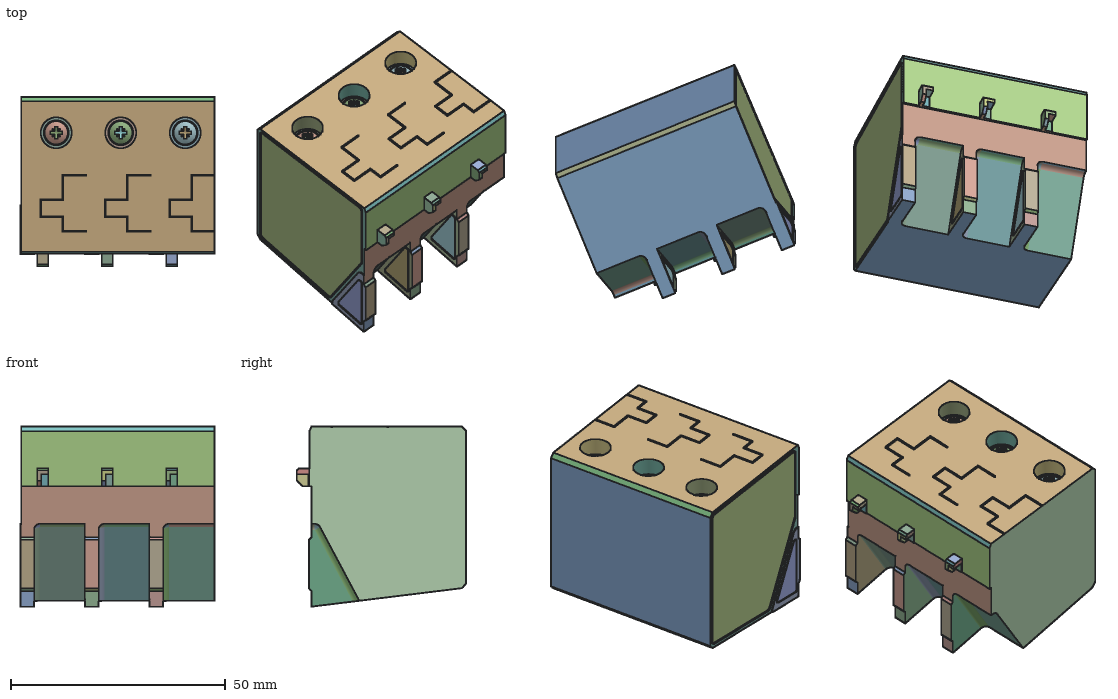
import cadquery as cq
import math


POLES = 3
PITCH = 15.0
WIDTH = POLES * PITCH

HEIGHT = 41.93
DEPTH = 36.0
UPPER_OVERHANG = 0.5
STEP_Z = 28.0
BOTTOM_SLOPE = math.tan(math.radians(7.0))
BACK_CHAMFER = 1.0
FRONT_CHAMFER_DEPTH = 0.5
FRONT_CHAMFER_HEIGHT = 1.1

FIN_OUTSET = 0.2
FIN_RIGHT = 3.0
FIN_LEFT = -FIN_OUTSET
POCKET_TOP = 19.3
POCKET_TOP_DEPTH = 1.6
SLOPE_ANGLE = 62.0
SLOPE = math.tan(math.radians(SLOPE_ANGLE))
POCKET_CORNER_RADIUS = 1.5
POCKET_WALL_RADIUS = 1.4
SKIN_BACK = 10.75
SKIN_FOOT_RADIUS = 3.0
CUT_MARGIN = 5.0

PAD_THICKNESS = 0.6
PAD_BOTTOM = 3.65
PAD_TOP = 16.2

RECESS_DEPTH = 0.2
RECESS_FRONT = 0.8
RECESS_TOP = 16.3
RECESS_BACK = 8.65
RECESS_SLOPE_MARGIN = 1.2
RECESS_BOTTOM_MARGIN = 1.65
RECESS_CORNER_RADIUS = 0.3

GROOVE_MARGIN = 0.85
GROOVE_WIDTH = 0.2
GROOVE_DEPTH = 0.2
GROOVE_FRONT = 0.9
GROOVE_RADIUS = 1.0

HOOK_LEFT = 3.73
HOOK_WIDTH = 2.6
HOOK_HEIGHT = 4.2
HOOK_REACH = 3.42
HOOK_TOP_CHAMFER = 0.5
HOOK_BOTTOM_CHAMFER = 1.35
HOOK_LEG_WIDTH = 0.9
HOOK_BAR_HEIGHT = 1.35
HOOK_WEB = 0.2

WELL_X = 8.15
WELL_Y = 27.65
WELL_RADIUS = 3.6
WELL_DEPTH = 4.15
HEAD_RADIUS = 2.9
FLANGE_HEIGHT = 0.2
DOME_RADIUS = 2.72
DOME_HEIGHT = 1.15
CROSS_LENGTH = 2.8
CROSS_WIDTH = 0.65
RIB_LENGTH = 2.4
RIB_WIDTH = 0.25
DRIVE_WALL = 0.4
DRIVE_DEPTH = 1.2

MARK_TIP_X = 4.5
MARK_STEP_X = 9.7
MARK_END_X = 15.1
MARK_BACK_Y = 17.75
MARK_TIP_BACK_Y = 12.1
MARK_TIP_FRONT_Y = 8.1
MARK_FRONT_Y = 4.7
MARK_WIDTH = 0.22
MARK_DEPTH = 0.2
MARK_EDGE_GAP = 0.2


def bottom_z(y):
    """Height of the sloping underside at depth y."""
    return y * BOTTOM_SLOPE


def slope_z(y, margin=0.0):
    """Height of the pocket slope at depth y, moved forward by margin."""
    shift = margin / math.sin(math.radians(SLOPE_ANGLE))
    return POCKET_TOP - (y + shift - POCKET_TOP_DEPTH) * SLOPE


def slope_y(z, margin=0.0):
    """Depth of the pocket slope at height z, moved forward by margin."""
    shift = margin / math.sin(math.radians(SLOPE_ANGLE))
    return POCKET_TOP_DEPTH + (POCKET_TOP - z) / SLOPE - shift


def side_prism(points, x_start, x_end):
    """Extrude a (Y, Z) outline between two X positions."""
    return cq.Workplane("YZ", origin=(x_start, 0, 0)).polyline(points).close().extrude(x_end - x_start)


def housing(x_start, x_end):
    points = [
        (0, 0),
        (0, STEP_Z),
        (-UPPER_OVERHANG, STEP_Z),
        (-UPPER_OVERHANG, HEIGHT - FRONT_CHAMFER_HEIGHT),
        (FRONT_CHAMFER_DEPTH - UPPER_OVERHANG, HEIGHT),
        (DEPTH - BACK_CHAMFER, HEIGHT),
        (DEPTH, HEIGHT - BACK_CHAMFER),
        (DEPTH, bottom_z(DEPTH) + BACK_CHAMFER),
        (DEPTH - BACK_CHAMFER, bottom_z(DEPTH - BACK_CHAMFER)),
    ]
    return side_prism(points, x_start, x_end)


def pocket_prism(x_start, x_end):
    """Pocket space with a rounded ceiling corner, open to the front and below."""
    points = [
        (-CUT_MARGIN, POCKET_TOP),
        (POCKET_TOP_DEPTH, POCKET_TOP),
        (slope_y(-CUT_MARGIN), -CUT_MARGIN),
        (-CUT_MARGIN, -CUT_MARGIN),
    ]
    prism = side_prism(points, x_start, x_end)
    ceiling_corner = prism.faces(">Z").edges(">Y")
    return ceiling_corner.fillet(POCKET_CORNER_RADIUS)


def wire_pocket(x_start, x_end):
    """Pocket with a rounded transition from its left wall to ceiling and slope."""
    prism = pocket_prism(x_start, x_end)
    ceiling_edge = prism.faces("<X").edges(">Z")
    return ceiling_edge.fillet(POCKET_WALL_RADIUS)


def fin_skin(x_start, x_end):
    """Raised outer face of the first fin, with a rounded foot at the back."""
    points = [
        (-CUT_MARGIN, HEIGHT),
        (SKIN_BACK, HEIGHT),
        (SKIN_BACK, -CUT_MARGIN),
        (-CUT_MARGIN, -CUT_MARGIN),
    ]
    skin = pocket_prism(x_start, x_end).intersect(side_prism(points, x_start, x_end))
    foot_corner = cq.NearestToPointSelector(((x_start + x_end) / 2, SKIN_BACK, slope_z(SKIN_BACK)))
    skin = skin.edges("|X").edges(foot_corner).fillet(SKIN_FOOT_RADIUS)
    return skin.intersect(housing(x_start, x_end))


def fin_pad(x_start, x_end):
    points = [
        (0, PAD_BOTTOM),
        (-PAD_THICKNESS, PAD_BOTTOM + PAD_THICKNESS),
        (-PAD_THICKNESS, PAD_TOP - PAD_THICKNESS),
        (0, PAD_TOP),
    ]
    return side_prism(points, x_start, x_end)


def fin_recess(x_start):
    points = [
        (RECESS_FRONT, bottom_z(RECESS_FRONT) + RECESS_BOTTOM_MARGIN),
        (RECESS_FRONT, RECESS_TOP),
        (slope_y(RECESS_TOP, RECESS_SLOPE_MARGIN), RECESS_TOP),
        (RECESS_BACK, slope_z(RECESS_BACK, RECESS_SLOPE_MARGIN)),
        (RECESS_BACK, bottom_z(RECESS_BACK) + RECESS_BOTTOM_MARGIN),
    ]
    return side_prism(points, x_start, x_start + RECESS_DEPTH).edges("|X").fillet(RECESS_CORNER_RADIUS)


def groove_loop(inset, radius):
    """Prism filling the wall outline, inset from the groove's outer edge."""
    margin = GROOVE_MARGIN + inset
    front = GROOVE_FRONT + inset
    back = DEPTH - margin
    rise = margin * math.hypot(1, BOTTOM_SLOPE)
    shift = margin / math.sin(math.radians(SLOPE_ANGLE))
    foot_y = (POCKET_TOP + (POCKET_TOP_DEPTH + shift) * SLOPE - rise) / (SLOPE + BOTTOM_SLOPE)
    points = [
        (front, HEIGHT - margin),
        (back, HEIGHT - margin),
        (back, bottom_z(back) + rise),
        (foot_y, bottom_z(foot_y) + rise),
        (front, slope_z(front, -margin)),
    ]
    return side_prism(points, 0, GROOVE_DEPTH).edges("|X").fillet(radius)


def wall_groove():
    return groove_loop(0, GROOVE_RADIUS).cut(groove_loop(GROOVE_WIDTH, GROOVE_RADIUS - GROOVE_WIDTH))


def hook(x_start):
    top = STEP_Z + HOOK_HEIGHT
    points = [
        (0, STEP_Z),
        (HOOK_BOTTOM_CHAMFER - HOOK_REACH, STEP_Z),
        (-HOOK_REACH, STEP_Z + HOOK_BOTTOM_CHAMFER),
        (-HOOK_REACH, top - HOOK_TOP_CHAMFER),
        (HOOK_TOP_CHAMFER - HOOK_REACH, top),
        (0, top),
    ]
    notch = cq.Workplane("XY").box(
        HOOK_WIDTH - HOOK_LEG_WIDTH,
        HOOK_REACH - UPPER_OVERHANG - HOOK_WEB,
        HOOK_HEIGHT - HOOK_BAR_HEIGHT,
        centered=False,
    )
    notch = notch.translate((x_start + HOOK_LEG_WIDTH, -HOOK_REACH, STEP_Z))
    return side_prism(points, x_start, x_start + HOOK_WIDTH).cut(notch)


def screw_well(x):
    floor = HEIGHT - WELL_DEPTH
    return cq.Workplane("XY", origin=(x, WELL_Y, floor)).circle(WELL_RADIUS).extrude(WELL_DEPTH)


def drive_recess():
    """Cross recess with diagonal grooves and a conical floor, apex plane at Z = 0."""
    arms = cq.Workplane("XY", origin=(0, 0, -DRIVE_DEPTH))
    recess = cq.Workplane("XY")
    for angle, length, width in (
        (0, CROSS_LENGTH, CROSS_WIDTH),
        (90, CROSS_LENGTH, CROSS_WIDTH),
        (45, RIB_LENGTH, RIB_WIDTH),
        (135, RIB_LENGTH, RIB_WIDTH),
    ):
        recess = recess.add(arms.transformed((0, 0, angle)).rect(length, width).extrude(DRIVE_DEPTH))
    reach = CROSS_LENGTH / 2 + CROSS_WIDTH
    floor_outline = [(0, 0), (reach, 0), (reach, -DRIVE_WALL), (0, -DRIVE_DEPTH)]
    pointed_floor = cq.Workplane("XZ").polyline(floor_outline).close().revolve(360, (0, 0), (0, 1))
    return recess.combine().intersect(pointed_floor)


def screw_head(x):
    """Domed head on a thin flange, with a cross recess."""
    floor = HEIGHT - WELL_DEPTH
    apex = FLANGE_HEIGHT + DOME_HEIGHT
    sphere_radius = (DOME_RADIUS**2 + DOME_HEIGHT**2) / (2 * DOME_HEIGHT)
    flange = cq.Workplane("XY").circle(HEAD_RADIUS).extrude(FLANGE_HEIGHT)
    sphere = cq.Workplane("XY", origin=(0, 0, apex - sphere_radius)).sphere(sphere_radius)
    dome = sphere.intersect(cq.Workplane("XY").circle(DOME_RADIUS).extrude(apex))
    head = flange.union(dome).cut(drive_recess().translate((0, 0, apex)))
    return head.translate((x, WELL_Y, floor))


def mark_groove(x_offset):
    """Stepped groove; the last one stops just short of the right wall."""
    end = min(MARK_END_X + x_offset, WIDTH - MARK_EDGE_GAP)
    tip = MARK_TIP_X + x_offset
    step = MARK_STEP_X + x_offset
    path = [
        (end, MARK_BACK_Y),
        (step, MARK_BACK_Y),
        (step, MARK_TIP_BACK_Y),
        (tip, MARK_TIP_BACK_Y),
        (tip, MARK_TIP_FRONT_Y),
        (step, MARK_TIP_FRONT_Y),
        (step, MARK_FRONT_Y),
        (end, MARK_FRONT_Y),
    ]
    groove = cq.Workplane("XY")
    half = MARK_WIDTH / 2
    for (x1, y1), (x2, y2) in zip(path, path[1:]):
        right = end if end in (x1, x2) else max(x1, x2) + half
        left = min(x1, x2) - half
        front = min(y1, y2) - half
        back = max(y1, y2) + half
        segment = cq.Workplane("XY").box(right - left, back - front, MARK_DEPTH, centered=False)
        groove = groove.add(segment.translate((left, front, HEIGHT - MARK_DEPTH)))
    return groove.combine()


body = housing(0, WIDTH)
body = body.union(fin_skin(FIN_LEFT, 0))
body = body.cut(wall_groove())

for pole in range(POLES):
    offset = pole * PITCH
    fin_left = FIN_LEFT + offset
    fin_right = FIN_RIGHT + offset
    next_fin = WIDTH if pole == POLES - 1 else fin_left + PITCH
    body = body.cut(wire_pocket(fin_right, next_fin))
    body = body.union(fin_pad(fin_left, fin_right))
    body = body.cut(fin_recess(fin_left))
    body = body.union(hook(HOOK_LEFT + offset))
    body = body.cut(screw_well(WELL_X + offset))
    body = body.union(screw_head(WELL_X + offset))
    body = body.cut(mark_groove(offset))

result = body